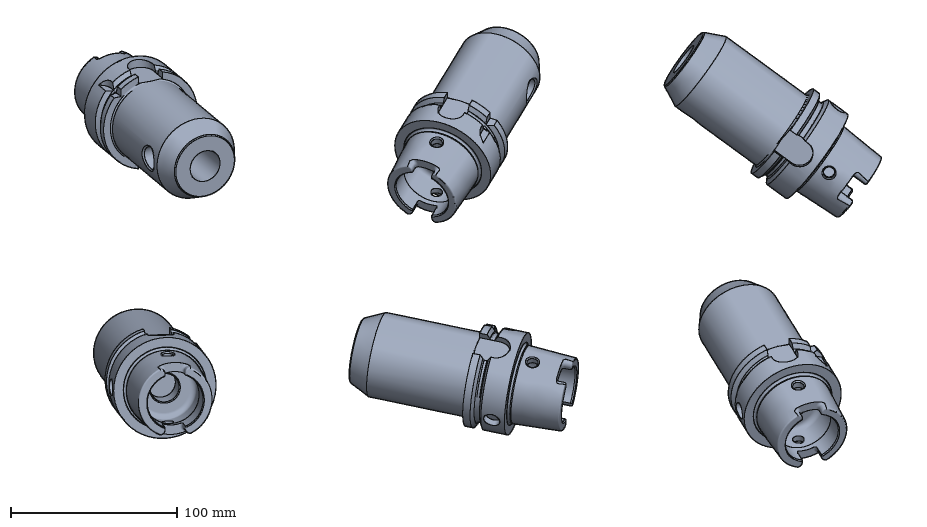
import cadquery as cq
import math


shank_length = 32.0
shank_base_radius = 24.2
shank_taper = 0.05
tip_radius = shank_base_radius - shank_taper * shank_length
tip_round = 0.9
relief_width = 1.3
relief_runout = 0.8
relief_depth = 0.3
relief_round = 0.8
face_recess_radius = 25.6
face_recess_depth = 0.3

flange_diameter = 63.0
flange_radius = flange_diameter / 2
flange_end = 58.0
groove_floor_radius = 27.5
groove_left = 46.6
groove_right = 53.3
groove_flare = 1.7
groove_slope = math.tan(math.radians(30))
groove_round = 0.8

body_radius = 26.0
body_fillet = 0.9
nose_start = 119.3
nose_radius = 20.3
nose_chamfer = 0.7
total_length = 132

shank_bore_radius = 17.2
shank_bore_depth = 32.0
shank_mouth_radius = 17.7
shank_mouth_depth = 0.9
undercut_start = 13.2
undercut_run = 0.8
undercut_radius = 19.1
undercut_floor_round = 3.4
socket_radius = 8.8
socket_depth = 11.9
socket_chamfer = 0.7
tool_bore_radius = 10.0
tool_bore_depth = 51.5

key_width = 12.5
key_half_width = key_width / 2
key_shoulder_height = 20.6
key_flare_radius = 3.0
key_floor_round = 1.6
upper_key_depth = 6.0
lower_key_depth = 9.9

flange_slot_start = 37
flange_slot_width = 16.2
flange_slot_half_width = flange_slot_width / 2
flange_slot_floor = 26.1
notch_wall = 19.8
notch_start = 44.5
notch_round = flange_slot_half_width

access_hole_x = 22.8
access_hole_radius = 3.4
access_hole_chamfer = 0.8
clamp_hole_to_nose = 25.0
clamp_hole_x = total_length - clamp_hole_to_nose
clamp_hole_radius = 7.0
clamp_hole_chamfer = 1.0
chip_hole_x = 39.9
chip_hole_radius = 5.0
chip_hole_depth = 4.6

clearance = 39.6


def turned(points):
    """Solid of revolution about X from (x, radius) points."""
    return cq.Workplane("XY").polyline(points).close().revolve(360, (0, 0, 0), (1, 0, 0))


def ring_at(x, radius):
    """Selects the circular edges about X that lie at x and are no larger than the radius."""
    gap = 0.07
    reach = radius + gap
    return cq.selectors.BoxSelector((x - gap, -reach, -reach), (x + gap, reach, reach), boundingbox=True)


def turned_blank():
    """Shank, grooved flange, body and nose before any milling, drilling or boring."""
    relief_start = shank_length - relief_width
    recess_floor = shank_length + face_recess_depth
    relief_radius = shank_base_radius - relief_depth
    groove_left_wall = groove_left + groove_flare
    groove_right_wall = groove_right - groove_flare
    groove_wall_radius = flange_radius - groove_flare / groove_slope
    shank = turned([
        (0, 0),
        (0, tip_radius),
        (relief_start - relief_runout, shank_base_radius),
        (relief_start, relief_radius),
        (recess_floor, relief_radius),
        (recess_floor, 0),
    ])
    shank = shank.faces("<X").edges().fillet(tip_round)
    flange = turned([
        (recess_floor, 0),
        (recess_floor, face_recess_radius - face_recess_depth),
        (shank_length, face_recess_radius),
        (shank_length, flange_radius),
        (groove_left, flange_radius),
        (groove_left_wall, groove_wall_radius),
        (groove_left_wall, groove_floor_radius),
        (groove_right_wall, groove_floor_radius),
        (groove_right_wall, groove_wall_radius),
        (groove_right, flange_radius),
        (flange_end, flange_radius),
        (flange_end, body_radius),
        (nose_start, body_radius),
        (total_length - nose_chamfer, nose_radius),
        (total_length, nose_radius - nose_chamfer),
        (total_length, 0),
    ])

    blank = shank.union(flange)
    for x, radius, rounding in (
        (recess_floor, relief_radius, relief_round),
        (groove_left_wall, groove_floor_radius, groove_round),
        (groove_right_wall, groove_floor_radius, groove_round),
        (flange_end, body_radius, body_fillet),
    ):
        blank = blank.edges(ring_at(x, radius)).fillet(rounding)
    return blank


def key_prism(length):
    """Straight prism of the driving slot section, from the tip face inwards, on the +Z side."""
    flare_start = key_shoulder_height - key_flare_radius
    flare_end = key_half_width + key_flare_radius
    bend = key_flare_radius * (1 - math.sqrt(0.5))
    return (
        cq.Workplane("YZ")
        .moveTo(-key_half_width, 0)
        .lineTo(key_half_width, 0)
        .lineTo(key_half_width, flare_start)
        .threePointArc((key_half_width + bend, key_shoulder_height - bend), (flare_end, key_shoulder_height))
        .lineTo(clearance, key_shoulder_height)
        .lineTo(clearance, clearance)
        .lineTo(-clearance, clearance)
        .lineTo(-clearance, key_shoulder_height)
        .lineTo(-flare_end, key_shoulder_height)
        .threePointArc((-key_half_width - bend, key_shoulder_height - bend), (-key_half_width, flare_start))
        .close()
        .extrude(length)
    )


def key_slot(depth, side):
    """Driving slot open at the tip, on the +Z side (side = 1) or the -Z side (side = -1)."""
    slot = key_prism(depth).faces(">X").edges().fillet(key_floor_round)

    mouth_depth = 2 * tip_round
    plate = cq.Workplane("YZ").rect(2 * clearance, clearance, centered=(True, False)).extrude(mouth_depth)
    slot_wall_edges = cq.selectors.BoxSelector(
        (-tip_round, tip_round - clearance, tip_round),
        (tip_round, clearance - tip_round, clearance - tip_round),
    )
    walls = plate.cut(key_prism(mouth_depth)).faces("<X").edges(slot_wall_edges).fillet(tip_round)
    cutter = slot.union(plate.cut(walls))
    return cutter if side > 0 else cutter.rotate((0, 0, 0), (1, 0, 0), 180)


def axial_bores():
    """Undercut shank bore, blind coolant tube socket in its floor and tool bore from the nose."""
    shank_bore = turned([
        (0, 0),
        (0, shank_mouth_radius),
        (shank_mouth_depth, shank_bore_radius),
        (undercut_start, shank_bore_radius),
        (undercut_start + undercut_run, undercut_radius),
        (shank_bore_depth, undercut_radius),
        (shank_bore_depth, 0),
    ])
    shank_bore = shank_bore.faces(">X").edges().fillet(undercut_floor_round)
    socket = turned([
        (shank_bore_depth, 0),
        (shank_bore_depth, socket_radius + socket_chamfer),
        (shank_bore_depth + socket_chamfer, socket_radius),
        (shank_bore_depth + socket_depth, socket_radius),
        (shank_bore_depth + socket_depth, 0),
    ])
    nose_face = cq.Workplane("YZ", origin=(total_length, 0, 0))
    tool_bore = nose_face.circle(tool_bore_radius).extrude(-tool_bore_depth)
    return shank_bore.union(socket).union(tool_bore)


def flange_slot(side):
    """Round-ended slot through the flange, on the +Z or -Z side."""
    end = flange_end + body_fillet
    center = flange_slot_start + flange_slot_half_width
    slot = (
        cq.Workplane("XY", origin=(0, 0, flange_slot_floor))
        .moveTo(end, -flange_slot_half_width)
        .lineTo(center, -flange_slot_half_width)
        .threePointArc((flange_slot_start, 0), (center, flange_slot_half_width))
        .lineTo(end, flange_slot_half_width)
        .close()
        .extrude(clearance)
    )
    return slot if side > 0 else slot.mirror("XY")


def corner_notch():
    """Square corner cut on the -Y +Z side of the flange, with a rounded end."""
    end = flange_end + body_fillet
    bend = notch_round * math.sqrt(0.5)
    return (
        cq.Workplane("XY", origin=(0, 0, notch_wall))
        .moveTo(end, -notch_wall)
        .lineTo(notch_start, -notch_wall)
        .threePointArc(
            (notch_start - bend, -notch_wall - notch_round + bend),
            (notch_start - notch_round, -notch_wall - notch_round),
        )
        .lineTo(notch_start - notch_round, -clearance)
        .lineTo(end, -clearance)
        .close()
        .extrude(clearance)
    )


def radial_holes():
    """Access hole through both shank walls, clamping screw hole from -Y and chip pocket from +Y."""
    below_part = cq.Workplane("XY", origin=(access_hole_x, 0, -clearance))
    access_hole = below_part.circle(access_hole_radius).extrude(2 * clearance)
    clamp_hole = cq.Workplane("XZ", origin=(clamp_hole_x, 0, 0)).circle(clamp_hole_radius).extrude(clearance)
    chip_floor = cq.Workplane("XZ", origin=(chip_hole_x, flange_radius - chip_hole_depth, 0))
    chip_pocket = chip_floor.circle(chip_hole_radius).extrude(-clearance)
    return access_hole.union(clamp_hole).union(chip_pocket)


def chamfer_hole_mouth(body, x, bore_radius, size):
    """Chamfers the outer rims of a radial hole centered at x, outside the axial bore that it opens into."""

    def is_rim(edge):
        box = edge.BoundingBox()
        start = edge.startPoint()
        at_hole = abs(box.center.x - x) < size and box.xlen > size
        return at_hole and math.hypot(start.y, start.z) > bore_radius + size

    return body.edges().filter(is_rim).chamfer(size)


result = turned_blank().cut(axial_bores())
for depth, side in ((upper_key_depth, 1), (lower_key_depth, -1)):
    result = result.cut(key_slot(depth, side)).cut(flange_slot(side))
result = result.cut(corner_notch()).cut(radial_holes())
result = chamfer_hole_mouth(result, access_hole_x, undercut_radius, access_hole_chamfer)
result = chamfer_hole_mouth(result, clamp_hole_x, tool_bore_radius, clamp_hole_chamfer)